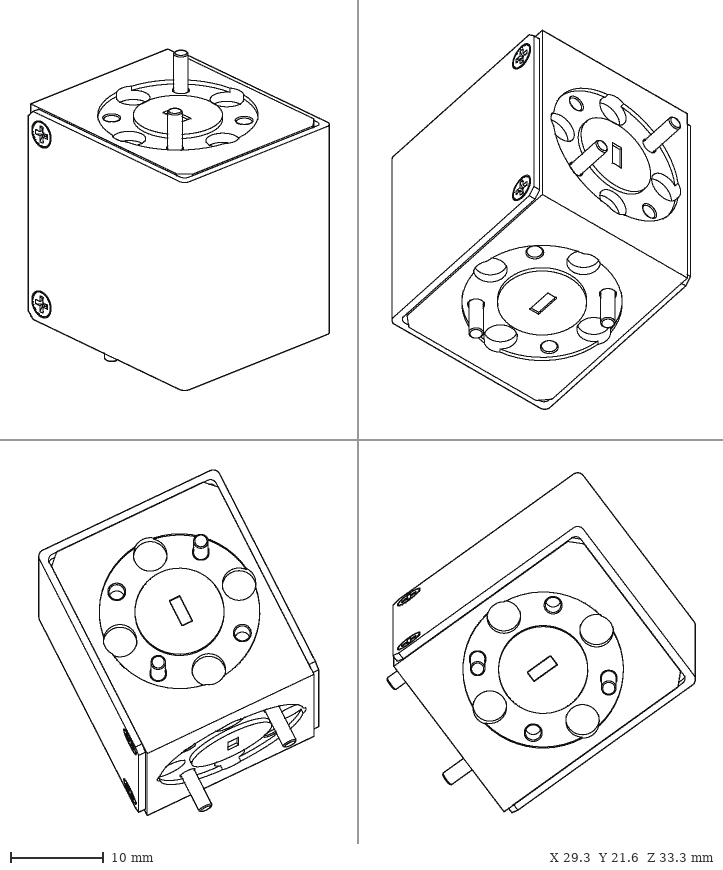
import cadquery as cq

port_distance = 12.7
block_right = 11.8
block_depth = 20.0
corner_clip = 1.25
corner_clip_depth = 2.0

cover_thickness = 0.8
cover_right = 12.67
cover_left = -port_distance + 0.47
cover_depth = block_depth + 2 * cover_thickness
cover_height = 24.9
cover_lift = 0.07
cover_outer_radius = 0.77
cover_inner_radius = 0.67
cover_corner_chamfer = 0.8

port_offset_y = -0.15
recess_radius = 8.65
recess_depth = 0.5
boss_radius = 4.8
bolt_circle_radius = 7.15
bolt_hole_radius = 1.8
bolt_hole_depth = 1.1
socket_radius = 0.85
socket_depth = 2.67
socket_chamfer = 0.15
aperture_length = 3.1
aperture_width = 1.25
aperture_offset_y = -0.17
aperture_depth = 0.3

pin_diameter = 1.57
pin_height = 3.97
pin_chamfer = 0.15
pin_clearance_radius = 0.9
pin_clearance_depth = 0.27

screw_x = -port_distance + 2.6
screw_spacing = 20.35
countersink_radius = 1.55
countersink_gap = 0.15
drive_length = 1.95
drive_width = 0.5
drive_core_radius = 0.35
drive_depth = 0.5


def make_block():
    """Block with its right-hand corners clipped near the top and bottom faces."""
    width = port_distance + block_right
    block = cq.Workplane("XY").box(width, block_depth, 2 * port_distance)
    block = block.translate((block_right - width / 2, 0, 0))
    clip = (
        cq.Workplane("XY")
        .workplane(offset=port_distance)
        .moveTo(block_right, block_depth / 2)
        .line(-corner_clip, 0)
        .line(corner_clip, -corner_clip)
        .close()
        .extrude(-corner_clip_depth)
    )
    clips = clip.union(clip.mirror("XZ"))
    return block.cut(clips).cut(clips.mirror("XY"))


def make_cover():
    """Bent sheet open at the left, with clipped corners at its free ends."""
    width = cover_right - cover_left
    sheet = (
        cq.Workplane("XY")
        .box(width, cover_depth, cover_height)
        .translate((cover_right - width / 2, 0, 0))
        .edges("|Z and >X")
        .fillet(cover_outer_radius)
        .edges("|Y and <X")
        .chamfer(cover_corner_chamfer)
    )
    inside = (
        cq.Workplane("XY")
        .box(width, block_depth, cover_height)
        .translate((block_right - width / 2, 0, 0))
        .edges("|Z and >X")
        .fillet(cover_inner_radius)
    )
    return sheet.cut(inside)


def make_port_cut():
    """Everything removed from the top face for one port."""
    face = cq.Workplane("XY").workplane(offset=port_distance)
    floor = cq.Workplane("XY").workplane(offset=port_distance - recess_depth)

    cut = face.circle(recess_radius).circle(boss_radius).extrude(-recess_depth)
    bolt_holes = face.polarArray(bolt_circle_radius, 0, 360, 4).circle(bolt_hole_radius)
    cut = cut.union(bolt_holes.extrude(-recess_depth - bolt_hole_depth))

    sockets = floor.polarArray(bolt_circle_radius, 45, 360, 2).circle(socket_radius)
    cut = cut.union(sockets.extrude(-socket_depth))
    socket_mouths = floor.polarArray(bolt_circle_radius, 45, 360, 2).circle(socket_radius + socket_chamfer)
    cut = cut.union(socket_mouths.extrude(-socket_chamfer, taper=45))

    clearances = floor.polarArray(bolt_circle_radius, 135, 360, 2).circle(pin_clearance_radius)
    cut = cut.union(clearances.extrude(-pin_clearance_depth))

    aperture = face.center(0, aperture_offset_y).rect(aperture_length, aperture_width)
    return cut.union(aperture.extrude(-aperture_depth))


def make_pins():
    """Two dowel pins standing on diagonally opposite spots of the top port."""
    seat_depth = recess_depth + pin_clearance_depth
    return (
        cq.Workplane("XY")
        .workplane(offset=port_distance - seat_depth)
        .polarArray(bolt_circle_radius, 135, 360, 2)
        .circle(pin_diameter / 2)
        .extrude(seat_depth + pin_height)
        .faces(">Z")
        .chamfer(pin_chamfer)
    )


def make_screw_cut():
    """Gap around one screw head and its tapered cross drive, cut into the XZ plane from -Y."""
    head_radius = countersink_radius - countersink_gap
    face = cq.Workplane("XZ")
    gap = face.circle(countersink_radius).extrude(-countersink_gap, taper=45)
    gap = gap.cut(face.circle(head_radius).extrude(-countersink_gap))

    upright = face.rect(drive_width, drive_length).extrude(-drive_depth)
    level = face.rect(drive_length, drive_width).extrude(-drive_depth)
    tip_profile = (
        cq.Workplane("XY")
        .lineTo(drive_length / 2, 0)
        .lineTo(drive_core_radius, drive_depth)
        .lineTo(0, drive_depth)
        .close()
    )
    tip = tip_profile.revolve(360, (0, 0, 0), (0, 1, 0))
    return gap.union(upright.union(level).intersect(tip))


result = make_block()

port_cut = make_port_cut().translate((0, port_offset_y, 0))
pins = make_pins().translate((0, port_offset_y, 0))
for angle in (0, -90, -180):
    result = result.cut(port_cut.rotate((0, 0, 0), (0, 1, 0), angle))
    result = result.union(pins.rotate((0, 0, 0), (0, 1, 0), angle))

result = result.union(make_cover().translate((0, 0, cover_lift)))

screw_cut = make_screw_cut()
for side in (-1, 1):
    screw_z = cover_lift + side * screw_spacing / 2
    placed_cut = screw_cut.translate((screw_x, -cover_depth / 2, screw_z))
    result = result.cut(placed_cut).cut(placed_cut.mirror("XZ"))